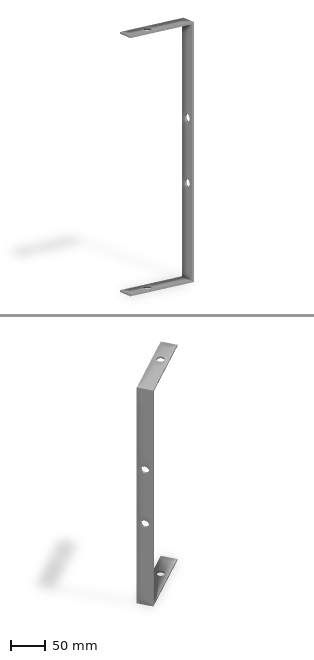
import cadquery as cq

strip_width = 25.4
strip_thickness = 3.0

bracket_height = 400.0
leg_length = 115.0

hole_diameter = 12.0
web_hole_spacing = 100.0
leg_hole_from_tip = 40.0

web_inner_y = leg_length - strip_thickness
mid_height = bracket_height / 2


def bracket_body():
    """C-shaped strip with square bends: a tall web and a leg at each end."""
    envelope = cq.Workplane("XY").box(
        strip_width, leg_length, bracket_height, centered=(True, False, False)
    )
    opening = (
        cq.Workplane("XY", origin=(0, 0, strip_thickness))
        .box(
            strip_width,
            web_inner_y,
            bracket_height - 2 * strip_thickness,
            centered=(True, False, False),
        )
    )
    return envelope.cut(opening)


def web_hole(z):
    """Cutter for a hole along Y through the web at height z."""
    return (
        cq.Workplane("XZ", origin=(0, leg_length, z))
        .circle(hole_diameter / 2)
        .extrude(strip_thickness)
    )


def leg_holes():
    """Cutter for the aligned vertical holes through both legs."""
    return (
        cq.Workplane("XY", origin=(0, leg_hole_from_tip, 0))
        .circle(hole_diameter / 2)
        .extrude(bracket_height)
    )


result = bracket_body().cut(leg_holes())
for side in (-1, 1):
    result = result.cut(web_hole(mid_height + side * web_hole_spacing / 2))